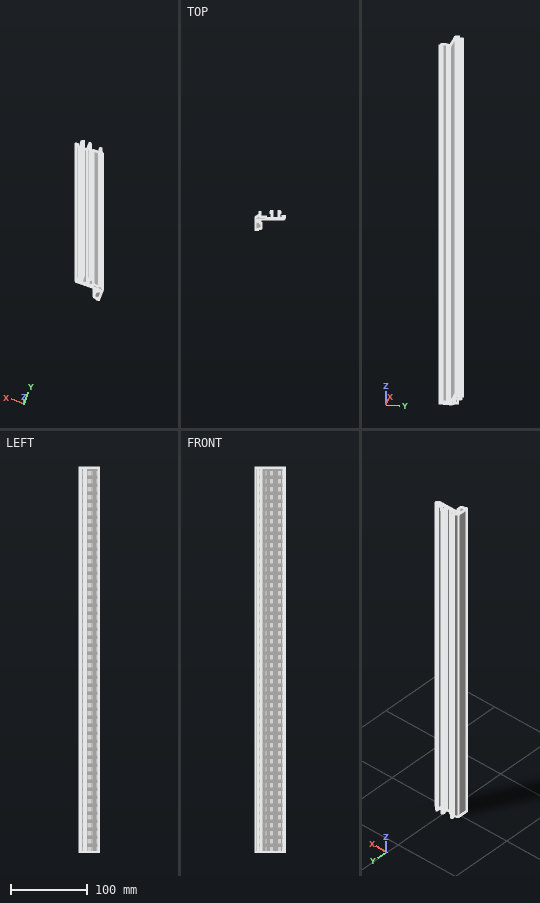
import cadquery as cq

length = 500.0
width = 38.5
depth = 25.0

leg_thickness = 3.0
head_bottom = 1.0
head_corner = 1.5
head_inner = 6.5
pad_inner = 8.0
pad_bottom = 2.5
pad_top = 9.0
head_top = 11.0
hook_thickness = 1.0
hook_top = 12.0

web_bottom = 13.5
web_top = 15.5
thick_web_top = 17.5
thick_web_end = 14.0

shoulder_bottom = 16.5
lip_left = 5.0
lip_right = 6.5
lip_top = 23.5
shoulder_top = 19.5

bead_start = 35.0
bead_bottom = 16.0
bead_top = 18.0
web_end = 36.5

prong_thickness = 1.0
prong_centers = ((21.5, -1), (30.5, 1))
barb_reach = 2.0
barb_bottom = 22.0
barb_shoulder = 23.5


def extrude_outline(points):
    return cq.Workplane("XY").polyline(points).close().extrude(length)


def make_body():
    return extrude_outline([
        (0, 0),
        (leg_thickness, 0),
        (leg_thickness, head_bottom),
        (head_inner, head_corner),
        (pad_inner, pad_bottom),
        (pad_inner, pad_top),
        (head_inner, pad_top),
        (head_inner, hook_top),
        (head_inner - hook_thickness, hook_top),
        (head_inner - hook_thickness, head_top),
        (leg_thickness, head_top),
        (leg_thickness, web_bottom),
        (web_end, web_bottom),
        (width, bead_bottom),
        (width, bead_top),
        (bead_start, bead_top),
        (bead_start, web_top),
        (thick_web_end, web_top),
        (thick_web_end, thick_web_top),
        (lip_right, thick_web_top),
        (lip_right, lip_top),
        (lip_left, lip_top),
        (lip_left, shoulder_top),
        (0, shoulder_bottom),
    ])


def make_prong(center, side):
    """Upright prong rooted in the web; side is the X direction of its barb."""
    outer = center + side * prong_thickness / 2
    inner = center - side * prong_thickness / 2
    barb_tip = center + side * barb_reach
    return extrude_outline([
        (inner, web_bottom),
        (outer, web_bottom),
        (outer, barb_bottom),
        (barb_tip, barb_bottom),
        (barb_tip, barb_shoulder),
        (outer, depth),
        (inner, depth),
    ])


result = make_body()
for prong_center, barb_side in prong_centers:
    result = result.union(make_prong(prong_center, barb_side))